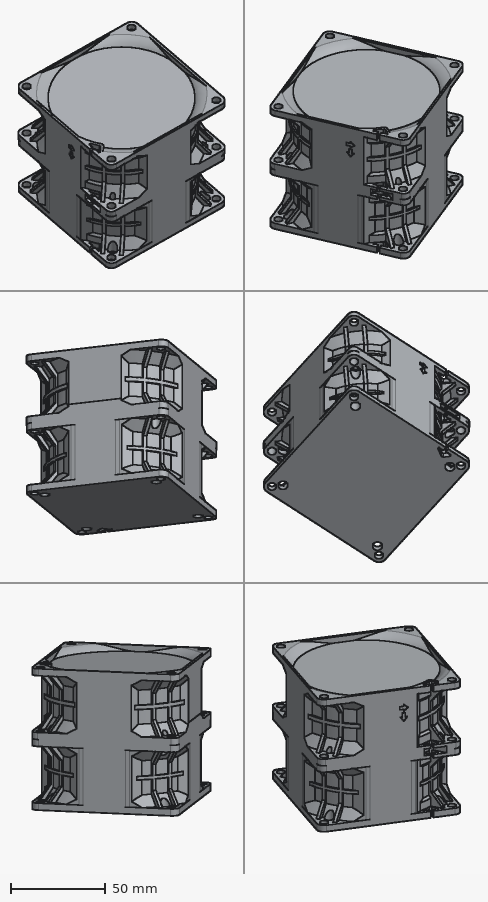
import cadquery as cq
import math

SIDE = 80.0
HALF = SIDE / 2
HEIGHT = 76.3
SPLIT_Z = HEIGHT / 2
CORNER_RADIUS = 4.0
JOINT_CORNER_RADIUS = 3.5
PANEL_Z = 45.9
PANEL_RAISE = 0.2

FLANGE = 3.8
HOLE_DIAMETER = 4.5
HOLE_OFFSET = 35.7

POCKET_EDGE = 14.9
POCKET_HEIGHT = SPLIT_Z - 2 * FLANGE
UPPER_WALL_FOOT = (17.75, 36.1)
LOWER_WALL_FOOT = (19.5, 35.4)
BARREL_RADIUS = 40.3
FLARE_RADIUS = 44.9
FLARE_HEIGHT = 6.1
RING_RADIUS = 41.4
UPPER_RING_HEIGHT = 2.3
LOWER_RING_HEIGHT = 1.9
RIB_THICKNESS = 1.9
RIB_OFFSET = 5.0
RIB_FLARE_RADIUS = 48.4
RIB_FLARE_HEIGHT = 8.2
OVERCUT = 2.4

UPPER_CLEARANCE_RADIUS = 1.45
UPPER_CLEARANCE_REACH = 44.5
LOWER_CLEARANCE_RADIUS = 2.6
LOWER_CLEARANCE_REACH = 44.65

RELIEF_START = 11.6
RELIEF_FULL = 13.8
RELIEF_DEPTH = 0.1

INLET_DEPTH = 3.45
INLET_FLOOR_RADIUS = 38.95
INLET_RIM_RADIUS = 45.2
INLET_BULGE = 0.6
INLET_WIDTH_X = 77.65
INLET_WIDTH_Y = 76.9
LIP_RADIUS = 40.1
LIP_START = 8.0
LIP_TOP = -32.4
LIP_TOP_RIGHT = 25.05
LIP_RIGHT = 28.2

PASSAGE_LEFT = 19.4
PASSAGE_RIGHT = 27.5
PASSAGE_FRONT = -37.75
PASSAGE_SHOULDER = -36.85
PASSAGE_TOP = -34.2
PASSAGE_TOP_LEFT = 23.7
PASSAGE_TOP_RIGHT = 24.9
SLIT_LEFT = 22.5
SLIT_RIGHT = 24.0
WINDOW_BOTTOM = 36.4
WINDOW_TOP = 40.15
WINDOW_LEFT = 18.95
WINDOW_RIGHT = 31.5

ARROW_RAISE = 0.2
ARROW_LENGTH = 4.7
ARROW_HEAD = 2.5
ARROW_HEAD_HALF = 2.0
ARROW_SHAFT_HALF = 0.9
FLOW_ARROW_TAIL = (7.4, 62.7)
SPIN_ARROW_TAIL = (5.0, 65.6)


def prism(points, bottom, top):
    """Straight prism over a closed XY outline."""
    return cq.Workplane("XY", origin=(0, 0, bottom)).polyline(points).close().extrude(top - bottom)


def disc(radius, bottom, top, x=0.0, y=0.0):
    return cq.Workplane("XY", origin=(x, y, bottom)).circle(radius).extrude(top - bottom)


def rounded_block(bottom, top, radius, extra_y=0.0):
    """Square block with rounded upright edges, widened towards +Y by extra_y."""
    block = cq.Workplane("XY", origin=(0, extra_y / 2, bottom)).rect(SIDE, SIDE + extra_y)
    return block.extrude(top - bottom).edges("|Z").fillet(radius)


def flared_body(bottom, top, radius, flare_radius, flare_height):
    """Round body that widens to flare_radius at both of its ends."""
    outline = [
        (0, bottom),
        (flare_radius, bottom),
        (radius, bottom + flare_height),
        (radius, top - flare_height),
        (flare_radius, top),
        (0, top),
    ]
    return cq.Workplane("XZ").polyline(outline).close().revolve(360, (0, 0, 0), (0, 1, 0))


def ribs(bottom, top):
    """Pair of upright ribs parallel to the +X +Y diagonal, level with the ring at mid height."""
    span = 2 * RIB_OFFSET
    slabs = cq.Workplane("XY", origin=(HALF, 0, bottom)).rarray(0.8, span, 1, 2).rect(SIDE, RIB_THICKNESS)
    slabs = slabs.extrude(top - bottom).rotate((0, 0, 0), (0, 0, 1), 45)
    return slabs.intersect(flared_body(bottom, top, RING_RADIUS, RIB_FLARE_RADIUS, RIB_FLARE_HEIGHT))


def barrel(bottom, top, ring_height):
    """Fan barrel with its ring at mid height and the ribs of the +X +Y corner."""
    middle = (bottom + top) / 2
    ring = disc(RING_RADIUS, middle - ring_height / 2, middle + ring_height / 2)
    body = flared_body(bottom, top, BARREL_RADIUS, FLARE_RADIUS, FLARE_HEIGHT)
    return body.union(ribs(bottom, top).union(ring))


def pocket_outline(wall_foot):
    """Outline of a corner pocket, symmetric about the +X +Y diagonal."""
    foot_x, foot_y = wall_foot
    outside = HALF + OVERCUT
    inner = BARREL_RADIUS / 2
    return [
        (POCKET_EDGE, outside),
        (POCKET_EDGE, HALF),
        (foot_x, foot_y),
        (inner, inner),
        (foot_y, foot_x),
        (HALF, POCKET_EDGE),
        (outside, POCKET_EDGE),
        (outside, outside),
    ]


def cable_bay(bottom, top, wall_foot):
    """Part of a pocket beside the +X side where the flares are cleared for the cable."""
    rib_side = RIB_OFFSET + RIB_THICKNESS / 2
    clear_zone = cq.Workplane("XY").box(2 * SIDE, SIDE, HEIGHT, centered=(True, False, False))
    clear_zone = clear_zone.translate((0, -SIDE - rib_side, 0)).rotate((0, 0, 0), (0, 0, 1), 45)
    bay = prism(pocket_outline(wall_foot), bottom, top).intersect(clear_zone)
    return bay.cut(disc(RING_RADIUS, bottom, top))


def cut_pockets(body, bottom, wall_foot, ring_height):
    """Cut the four corner pockets of one housing; the +X -Y one also gets the cable bay."""
    top = bottom + POCKET_HEIGHT
    pocket = prism(pocket_outline(wall_foot), bottom, top)
    pocket = pocket.cut(barrel(bottom, top, ring_height))
    for angle in (0, 90, 180, 270):
        body = body.cut(pocket.rotate((0, 0, 0), (0, 0, 1), angle))
    bay = cable_bay(bottom, top, wall_foot)
    return body.cut(bay.rotate((0, 0, 0), (0, 0, 1), -90))


def cut_corner_holes(body, radius, reach, bottom, top):
    """Cut one upright hole per corner, at the distance reach from the Z axis."""
    offset = reach / math.sqrt(2)
    for x in (-offset, offset):
        for y in (-offset, offset):
            body = body.cut(disc(radius, bottom, top, x, y))
    return body


def cut_reliefs(body):
    """Ramp the sides of the lower housing down slightly towards the pockets."""
    outside = HALF + OVERCUT
    floor = HALF - RELIEF_DEPTH
    outline = [
        (RELIEF_START, HALF),
        (RELIEF_FULL, floor),
        (outside, floor),
        (outside, outside),
        (RELIEF_START, outside),
    ]
    relief = prism(outline, FLANGE, FLANGE + POCKET_HEIGHT)
    relief = relief.union(relief.mirror("YZ"))
    for angle in (0, 90, 180, 270):
        body = body.cut(relief.rotate((0, 0, 0), (0, 0, 1), angle))
    return body


def inlet_recess():
    """Bell-mouthed recess trimmed to the square housing and to the cable passage lip."""
    floor_z = HEIGHT - INLET_DEPTH
    run = INLET_RIM_RADIUS - INLET_FLOOR_RADIUS
    chord = math.hypot(run, INLET_DEPTH)
    bow_point = (
        INLET_FLOOR_RADIUS + run / 2 - INLET_BULGE * INLET_DEPTH / chord,
        floor_z + INLET_DEPTH / 2 + INLET_BULGE * run / chord,
    )
    bell = (
        cq.Workplane("XZ")
        .moveTo(0, floor_z)
        .lineTo(INLET_FLOOR_RADIUS, floor_z)
        .threePointArc(bow_point, (INLET_RIM_RADIUS, HEIGHT))
        .lineTo(0, HEIGHT)
        .close()
        .revolve(360, (0, 0, 0), (0, 1, 0))
    )
    trim = cq.Workplane("XY", origin=(0, 0, floor_z)).rect(INLET_WIDTH_X, INLET_WIDTH_Y)
    trim = trim.extrude(INLET_DEPTH)
    lip_shoulder = LIP_TOP - (LIP_RIGHT - LIP_TOP_RIGHT)
    lip_outline = [
        (LIP_START, -HALF),
        (LIP_START, LIP_TOP),
        (LIP_TOP_RIGHT, LIP_TOP),
        (LIP_RIGHT, lip_shoulder),
        (LIP_RIGHT, -HALF),
    ]
    lip = prism(lip_outline, floor_z, HEIGHT).cut(disc(LIP_RADIUS, floor_z, HEIGHT))
    return bell.intersect(trim).cut(lip)


def cable_passage():
    """Upright cable passage, with its slit to the -Y side and the window across the joint."""
    outside = -HALF - OVERCUT
    arch = [
        (PASSAGE_LEFT, PASSAGE_SHOULDER),
        (PASSAGE_TOP_LEFT, PASSAGE_TOP),
        (PASSAGE_TOP_RIGHT, PASSAGE_TOP),
        (PASSAGE_RIGHT, PASSAGE_SHOULDER),
    ]
    passage = prism([(PASSAGE_LEFT, PASSAGE_FRONT)] + arch + [(PASSAGE_RIGHT, PASSAGE_FRONT)], 0, HEIGHT)
    slit_outline = [
        (SLIT_LEFT, outside),
        (SLIT_LEFT, PASSAGE_SHOULDER),
        (SLIT_RIGHT, PASSAGE_SHOULDER),
        (SLIT_RIGHT, outside),
    ]
    slit = prism(slit_outline, 0, HEIGHT)
    cheek_end = WINDOW_RIGHT - (PASSAGE_TOP + HALF)
    window_outline = [
        (WINDOW_LEFT, outside),
        (WINDOW_LEFT, PASSAGE_SHOULDER),
        (PASSAGE_TOP_LEFT, PASSAGE_TOP),
        (cheek_end, PASSAGE_TOP),
        (WINDOW_RIGHT, -HALF),
        (WINDOW_RIGHT, outside),
    ]
    window = prism(window_outline, WINDOW_BOTTOM, WINDOW_TOP)
    return passage.union(slit).union(window)


def arrow(tail, angle):
    """Raised arrow on the -Y side; at angle 0 it points to +X."""
    neck = ARROW_LENGTH - ARROW_HEAD
    outline = [
        (0, -ARROW_SHAFT_HALF),
        (neck, -ARROW_SHAFT_HALF),
        (neck, -ARROW_HEAD_HALF),
        (ARROW_LENGTH, 0),
        (neck, ARROW_HEAD_HALF),
        (neck, ARROW_SHAFT_HALF),
        (0, ARROW_SHAFT_HALF),
    ]
    plane = cq.Workplane("XZ", origin=(tail[0], -HALF, tail[1])).transformed(rotate=(0, 0, angle))
    return plane.polyline(outline).close().extrude(ARROW_RAISE)


result = rounded_block(0, SPLIT_Z, CORNER_RADIUS)
result = result.union(rounded_block(SPLIT_Z, PANEL_Z, JOINT_CORNER_RADIUS))
result = result.union(rounded_block(PANEL_Z, HEIGHT, CORNER_RADIUS, PANEL_RAISE))

result = cut_pockets(result, FLANGE, LOWER_WALL_FOOT, LOWER_RING_HEIGHT)
result = cut_pockets(result, SPLIT_Z + FLANGE, UPPER_WALL_FOOT, UPPER_RING_HEIGHT)
result = cut_reliefs(result)

result = cut_corner_holes(result, HOLE_DIAMETER / 2, HOLE_OFFSET * math.sqrt(2), 0, HEIGHT)
flare_end = FLANGE + FLARE_HEIGHT
for bottom, top in ((0, flare_end), (SPLIT_Z - flare_end, SPLIT_Z)):
    result = cut_corner_holes(result, LOWER_CLEARANCE_RADIUS, LOWER_CLEARANCE_REACH, bottom, top)
result = cut_corner_holes(
    result, UPPER_CLEARANCE_RADIUS, UPPER_CLEARANCE_REACH, SPLIT_Z, SPLIT_Z + flare_end
)

result = result.cut(inlet_recess()).cut(cable_passage())
result = result.union(arrow(FLOW_ARROW_TAIL, -90)).union(arrow(SPIN_ARROW_TAIL, 0))